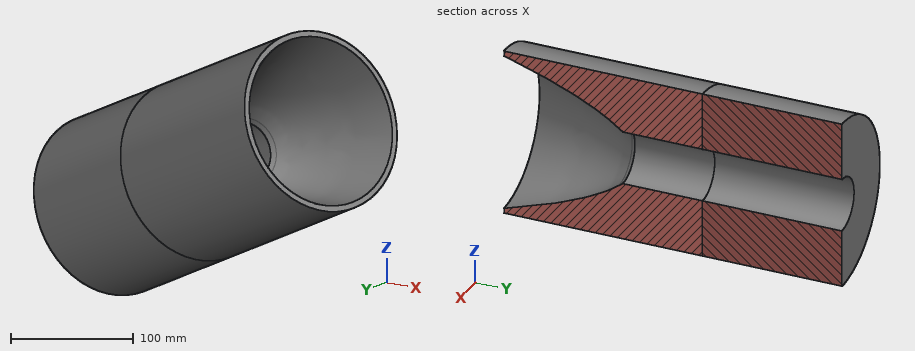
import cadquery as cq

length = 303.0
outer_radius = 76.0
rear_length = 124.8

focal_length = 10.5
mouth_radius = 71.2
bowl_end_radius = 26.7

bore_radius = 24.0
taper_length = 4.0

mouth_y = -length / 2
rear_y = length / 2
joint_y = rear_y - rear_length

vertex_y = mouth_y + mouth_radius**2 / (4 * focal_length)
bowl_end_y = vertex_y - bowl_end_radius**2 / (4 * focal_length)
bore_start_y = bowl_end_y + taper_length

tangent_cross_radius = (mouth_radius + bowl_end_radius) / 2
tangent_cross_y = vertex_y - mouth_radius * bowl_end_radius / (4 * focal_length)


def revolve_about_y(profile):
    """Close a half profile drawn as (radius, y) and turn it about the tube axis."""
    return profile.close().revolve(360, (0, 0, 0), (0, 1, 0))


def make_reflector_body():
    """Front body: cylinder with the paraboloid bowl opening at its mouth."""
    profile = (
        cq.Workplane("XY")
        .moveTo(bore_radius, joint_y)
        .lineTo(outer_radius, joint_y)
        .lineTo(outer_radius, mouth_y)
        .lineTo(mouth_radius, mouth_y)
        .bezier(
            [(tangent_cross_radius, tangent_cross_y), (bowl_end_radius, bowl_end_y)],
            includeCurrent=True,
        )
        .lineTo(bore_radius, bore_start_y)
    )
    return revolve_about_y(profile)


def make_rear_body():
    """Rear body: plain sleeve that carries the bore on to the back face."""
    profile = (
        cq.Workplane("XY")
        .moveTo(bore_radius, joint_y)
        .lineTo(outer_radius, joint_y)
        .lineTo(outer_radius, rear_y)
        .lineTo(bore_radius, rear_y)
    )
    return revolve_about_y(profile)


reflector_body = make_reflector_body()
rear_body = make_rear_body()

result = cq.Compound.makeCompound([reflector_body.val(), rear_body.val()])